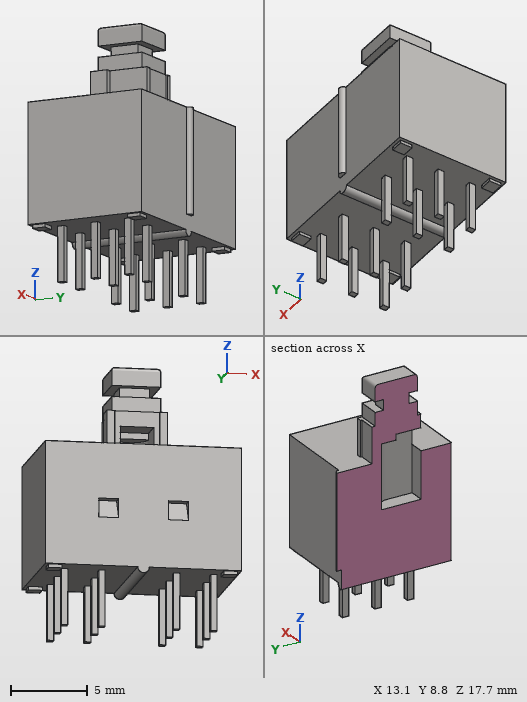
import cadquery as cq
import math


housing_length = 13.1
housing_depth = 8.48
housing_height = 8.25
back_rib_radius = 0.32
back_rib_start = 1.05
bottom_ridge_radius = 0.39

foot_size = 0.92
foot_height = 0.23
foot_inset = 0.23

overall_height = 17.7
pin_pitch = 2.5
pin_width = 0.4
pin_depth = 0.5
pin_columns = (-2, -1, 1, 2)
pin_rows = (-1, 0, 1)

window_width = 1.33
window_height = 1.27
window_bottom = 3.24
window_offset = 2.34
window_slope_angle = 30.0

sleeve_height = 2.69
shoulder_height = 3.7
neck_height = 4.45
plunger_height = 5.7

cap_size = 3.27
neck_size = 2.0
sleeve_depth = 4.0
sleeve_width = 3.24
sleeve_front_width = 4.05
sleeve_front_depth = 1.25
cap_fillet = 0.27

relief_depth = 0.1
front_relief_width = 3.01
back_relief_width = 2.45

slot_width = 2.23
slot_top = 1.66
bore_top = 1.24
slot_sink = 3.54

pin_length = overall_height - housing_height - plunger_height


def block(width, depth, bottom, top, x=0.0, y=0.0):
    """Upright box centred on (x, y) between two heights."""
    return cq.Workplane("XY", origin=(x, y, bottom)).rect(width, depth).extrude(top - bottom)


def make_housing():
    housing = block(housing_length, housing_depth, 0, housing_height)
    back_rib = (
        cq.Workplane("XY", origin=(0, housing_depth / 2, back_rib_start))
        .circle(back_rib_radius)
        .extrude(housing_height - back_rib_start)
    )
    bottom_ridge = (
        cq.Workplane("XZ", origin=(0, housing_depth / 2, 0))
        .circle(bottom_ridge_radius)
        .extrude(housing_depth)
    )
    return housing.union(back_rib).union(bottom_ridge)


def make_feet():
    foot_x = housing_length / 2 - foot_inset - foot_size / 2
    foot_y = housing_depth / 2 - foot_inset - foot_size / 2
    return (
        cq.Workplane("XY")
        .rect(2 * foot_x, 2 * foot_y, forConstruction=True)
        .vertices()
        .rect(foot_size, foot_size)
        .extrude(-foot_height)
    )


def make_pins():
    centres = [(pin_pitch * column, pin_pitch * row) for column in pin_columns for row in pin_rows]
    return cq.Workplane("XY").pushPoints(centres).rect(pin_width, pin_depth).extrude(-pin_length)


def make_window(x):
    """Wedge-shaped cut, deepest at its top edge and running out at its bottom edge."""
    front = -housing_depth / 2
    top = window_bottom + window_height
    depth = window_height * math.tan(math.radians(window_slope_angle))
    return (
        cq.Workplane("YZ", origin=(x - window_width / 2, 0, 0))
        .polyline([(front, window_bottom), (front, top), (front + depth, top)])
        .close()
        .extrude(window_width)
    )


def make_sleeve():
    bottom = housing_height
    top = housing_height + sleeve_height
    face = sleeve_depth / 2
    front_y = -face + sleeve_front_depth / 2
    sleeve = block(sleeve_width, sleeve_depth, bottom, top)
    sleeve = sleeve.union(block(sleeve_front_width, sleeve_front_depth, bottom, top, y=front_y))
    sleeve = sleeve.cut(block(front_relief_width, 2 * relief_depth, bottom, top, y=-face))
    return sleeve.cut(block(back_relief_width, 2 * relief_depth, bottom, top, y=face))


def make_plunger_head():
    sleeve_top = housing_height + sleeve_height
    shoulder_top = housing_height + shoulder_height
    neck_top = housing_height + neck_height
    plunger_top = housing_height + plunger_height
    cap = block(cap_size, cap_size, neck_top, plunger_top).faces(">Z").edges().fillet(cap_fillet)
    shoulder = block(cap_size, cap_size, sleeve_top, shoulder_top)
    neck = block(neck_size, neck_size, shoulder_top, neck_top)
    return shoulder.union(neck).union(cap)


def make_spring_slot():
    """Straight slot from the sleeve's relieved front to its axis, ending in a round bore."""
    bottom = housing_height - slot_sink
    slot_length = sleeve_depth / 2 - relief_depth
    slot = block(slot_width, slot_length, bottom, housing_height + slot_top, y=-slot_length / 2)
    bore = (
        cq.Workplane("XY", origin=(0, 0, bottom))
        .circle(slot_width / 2)
        .extrude(slot_sink + bore_top)
    )
    return slot.union(bore)


result = make_housing().union(make_feet()).union(make_pins())
result = result.union(make_sleeve()).union(make_plunger_head())
result = result.cut(make_spring_slot())
for side in (-1, 1):
    result = result.cut(make_window(side * window_offset))